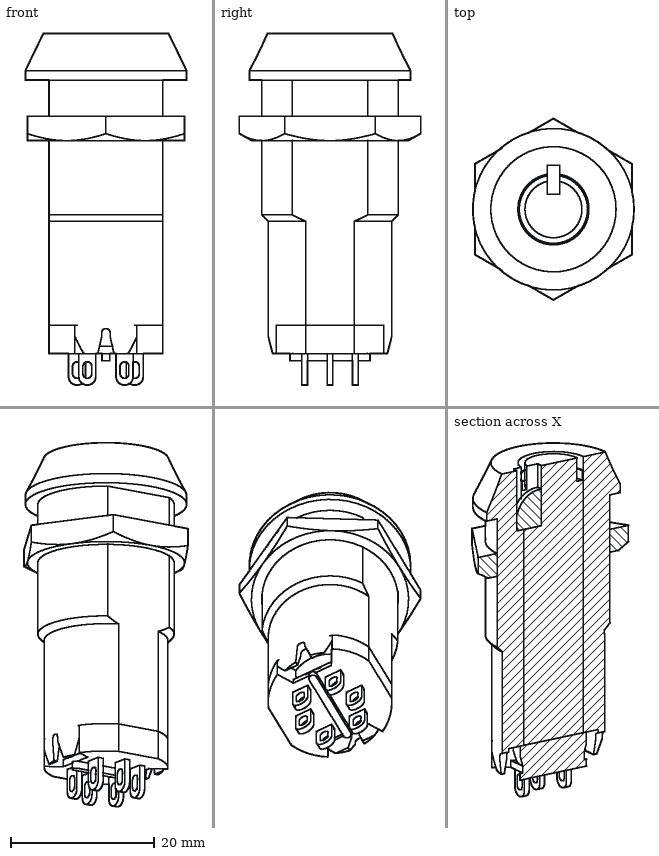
import cadquery as cq
import math

TOP_Z = 49.2
HEAD_RIM_TOP_Z = 44.0
HEAD_BOTTOM_Z = 42.65
NUT_BOTTOM_Z = 34.2
STEP_TOP_Z = 23.8
SEAT_Z = 8.4
TONGUE_CREASE_Z = 6.8
BASE_BOTTOM_Z = 4.45
SEPARATOR_BOTTOM_Z = 3.4

HEAD_RADIUS = 22.6 / 2
HEAD_TOP_RADIUS = 8.75
BARREL_RADIUS = 9.55
LOWER_RADIUS = 8.65
FLAT_X = 7.95
STEP_BOTTOM_Z = STEP_TOP_Z - (BARREL_RADIUS - LOWER_RADIUS)
BORE_RADIUS = 4.95

EAR_EDGE_ANGLE = 60.0
TONGUE_INNER_Y = LOWER_RADIUS * math.sin(math.radians(EAR_EDGE_ANGLE))
TONGUE_END_RADIUS = 8.1
NOTCH_TOP_Z = 7.9
NOTCH_ARCH_RADIUS = 0.6
NOTCH_END_HALF_WIDTH = 1.15

CORE_RIM_DEPTH = 2.0
CORE_POST_RADIUS = 4.0
CORE_RIM_INNER_RADIUS = 4.75
KEY_GROOVE_DEPTH = 3.45

SLOT_WIDTH = 1.7
SLOT_INNER_Y = 2.05
SLOT_OUTER_Y = 6.15
SLOT_DEPTH = 8.85
LUG_RADIUS = 4.0
LUG_AXIS_Y = 2.25
LUG_TOP_DEPTH = KEY_GROOVE_DEPTH

NUT_ACROSS_CORNERS = 25.4
NUT_HEIGHT = 3.45
NUT_CHAMFER_ANGLE = 30.0

BLOCK_RADIUS = 5.6
FOOT_HALF_DEPTH = 5.2
FOOT_HEIGHT = 1.05
FOOT_TOP_Z = BASE_BOTTOM_Z + FOOT_HEIGHT
SEPARATOR_WIDTH = 1.15
SEPARATOR_LENGTH = 11.2

TERMINAL_WIDTH = 2.4
TERMINAL_THICKNESS = 0.85
TERMINAL_PITCH_Y = 3.55
INNER_TERMINAL_X = 2.6
OUTER_TERMINAL_X = 4.05
EYE_WIDTH = 1.25
EYE_LENGTH = 2.25
EYE_CENTER_Z = 2.1


def disc(radius, bottom_z, top_z):
    """Upright cylinder on the Z axis."""
    return cq.Workplane("XY").workplane(offset=bottom_z).circle(radius).extrude(top_z - bottom_z)


def block(size_x, y_min, y_max, bottom_z, top_z):
    """Box centred in X."""
    return cq.Workplane("XY").box(
        size_x, y_max - y_min, top_z - bottom_z, centered=(True, False, False)
    ).translate((0, y_min, bottom_z))


def turned(outline):
    """Solid of revolution about the Z axis, from (radius, z) points."""
    return cq.Workplane("XZ").polyline(outline).close().revolve(360, (0, 0, 0), (0, 1, 0))


def between_flats(solid):
    """Trim a solid to the two flats of the barrel."""
    return solid.intersect(block(2 * FLAT_X, -BARREL_RADIUS, BARREL_RADIUS, 0, TOP_Z))


def key_slot():
    return block(SLOT_WIDTH, SLOT_INNER_Y, SLOT_OUTER_Y, TOP_Z - SLOT_DEPTH, TOP_Z)


def tongues():
    """Two tapered circular segments that hang from the barrel, each with an arched notch."""
    taper = turned([
        (0, SEAT_Z),
        (LOWER_RADIUS, SEAT_Z),
        (LOWER_RADIUS, TONGUE_CREASE_Z),
        (TONGUE_END_RADIUS, BASE_BOTTOM_Z),
        (0, BASE_BOTTOM_Z),
    ])
    width = 2 * LOWER_RADIUS * math.cos(math.radians(EAR_EDGE_ANGLE))
    span = block(width, -LOWER_RADIUS, LOWER_RADIUS, BASE_BOTTOM_Z, SEAT_Z)
    gap = block(width, -TONGUE_INNER_Y, TONGUE_INNER_Y, BASE_BOTTOM_Z, SEAT_Z)
    arch_z = NOTCH_TOP_Z - NOTCH_ARCH_RADIUS
    notch = (
        cq.Workplane("XZ")
        .moveTo(-NOTCH_END_HALF_WIDTH, BASE_BOTTOM_Z)
        .lineTo(-NOTCH_ARCH_RADIUS, TONGUE_CREASE_Z)
        .lineTo(-NOTCH_ARCH_RADIUS, arch_z)
        .threePointArc((0, NOTCH_TOP_Z), (NOTCH_ARCH_RADIUS, arch_z))
        .lineTo(NOTCH_ARCH_RADIUS, TONGUE_CREASE_Z)
        .lineTo(NOTCH_END_HALF_WIDTH, BASE_BOTTOM_Z)
        .close()
        .extrude(LOWER_RADIUS, both=True)
    )
    return taper.intersect(span).cut(gap).cut(notch)


def make_housing():
    """Conical head and stepped barrel with two flats, bored for the lock core."""
    head = turned([
        (0, TOP_Z),
        (HEAD_TOP_RADIUS, TOP_Z),
        (HEAD_RADIUS, HEAD_RIM_TOP_Z),
        (HEAD_RADIUS, HEAD_BOTTOM_Z),
        (0, HEAD_BOTTOM_Z),
    ])
    barrel = turned([
        (0, HEAD_BOTTOM_Z),
        (BARREL_RADIUS, HEAD_BOTTOM_Z),
        (BARREL_RADIUS, STEP_TOP_Z),
        (LOWER_RADIUS, STEP_BOTTOM_Z),
        (LOWER_RADIUS, SEAT_Z),
        (0, SEAT_Z),
    ])
    solid = head.union(between_flats(barrel)).union(tongues())
    return solid.cut(disc(BORE_RADIUS, SEAT_Z, TOP_Z)).cut(key_slot())


def make_nut():
    """Hexagon nut with corners on the Y axis, chamfered on its underside."""
    sides = 6
    half_side = math.pi / sides
    corner_radius = NUT_ACROSS_CORNERS / 2
    flat_radius = corner_radius * math.cos(half_side)
    chamfer_rise = (corner_radius - flat_radius) * math.tan(math.radians(NUT_CHAMFER_ANGLE))
    hexagon = (
        cq.Workplane("XY")
        .polygon(sides, NUT_ACROSS_CORNERS)
        .extrude(NUT_HEIGHT)
        .rotate((0, 0, 0), (0, 0, 1), math.degrees(half_side))
    )
    chamfered = turned([
        (0, 0),
        (flat_radius, 0),
        (corner_radius, chamfer_rise),
        (corner_radius, NUT_HEIGHT),
        (0, NUT_HEIGHT),
    ])
    nut = hexagon.intersect(chamfered).translate((0, 0, NUT_BOTTOM_Z))
    return nut.cut(disc(BARREL_RADIUS, NUT_BOTTOM_Z, NUT_BOTTOM_Z + NUT_HEIGHT))


def make_core():
    """Lock cylinder with a recessed rim and a ring groove around its central post."""
    groove_z = TOP_Z - KEY_GROOVE_DEPTH
    body = disc(BORE_RADIUS, SEAT_Z, TOP_Z - CORE_RIM_DEPTH)
    groove = disc(CORE_RIM_INNER_RADIUS, groove_z, TOP_Z)
    post = disc(CORE_POST_RADIUS, groove_z, TOP_Z)
    return body.cut(groove).union(post).cut(key_slot())


def make_key_lug():
    """Lug with a convex top that fills the bottom of the key slot."""
    axis_z = TOP_Z - LUG_TOP_DEPTH - LUG_RADIUS
    wheel = (
        cq.Workplane("YZ")
        .center(LUG_AXIS_Y, axis_z)
        .circle(LUG_RADIUS)
        .extrude(SLOT_WIDTH / 2, both=True)
    )
    return wheel.intersect(key_slot())


def terminal(x, y):
    """Solder tag with a rounded tip and an oblong eye."""
    tip_radius = TERMINAL_WIDTH / 2
    return (
        cq.Workplane("XZ", origin=(x, y, 0))
        .moveTo(-tip_radius, BASE_BOTTOM_Z)
        .lineTo(-tip_radius, tip_radius)
        .threePointArc((0, 0), (tip_radius, tip_radius))
        .lineTo(tip_radius, BASE_BOTTOM_Z)
        .close()
        .moveTo(0, EYE_CENTER_Z)
        .slot2D(EYE_LENGTH, EYE_WIDTH, 90)
        .extrude(TERMINAL_THICKNESS / 2, both=True)
    )


def ears():
    """Two sectors of the barrel outline, on the +X and -X sides."""
    reach = 2 * LOWER_RADIUS
    edge_y = reach * math.tan(math.radians(EAR_EDGE_ANGLE))
    sectors = (
        cq.Workplane("XY")
        .workplane(offset=BASE_BOTTOM_Z)
        .polyline([(0, 0), (reach, edge_y), (reach, -edge_y)])
        .close()
        .polyline([(0, 0), (-reach, edge_y), (-reach, -edge_y)])
        .close()
        .extrude(SEAT_Z - BASE_BOTTOM_Z)
    )
    return between_flats(disc(LOWER_RADIUS, BASE_BOTTOM_Z, SEAT_Z)).intersect(sectors)


def make_base():
    """Contact base: central block, flat foot, two ears, separator bar and six terminals."""
    center = turned([
        (0, SEAT_Z),
        (BLOCK_RADIUS, SEAT_Z),
        (BLOCK_RADIUS, TONGUE_CREASE_Z),
        (FOOT_HALF_DEPTH, FOOT_TOP_Z),
        (0, FOOT_TOP_Z),
    ])
    foot_width = 2 * FOOT_HALF_DEPTH / math.tan(math.radians(EAR_EDGE_ANGLE))
    foot = block(foot_width, -FOOT_HALF_DEPTH, FOOT_HALF_DEPTH, BASE_BOTTOM_Z, FOOT_TOP_Z)
    separator = (
        cq.Workplane("XY")
        .workplane(offset=SEPARATOR_BOTTOM_Z)
        .slot2D(SEPARATOR_LENGTH, SEPARATOR_WIDTH, 90)
        .extrude(BASE_BOTTOM_Z - SEPARATOR_BOTTOM_Z)
    )
    base = center.union(foot).union(ears()).union(separator)
    rows = [
        (-TERMINAL_PITCH_Y, INNER_TERMINAL_X),
        (0, OUTER_TERMINAL_X),
        (TERMINAL_PITCH_Y, INNER_TERMINAL_X),
    ]
    for y, x in rows:
        for side in (-1, 1):
            base = base.union(terminal(side * x, y))
    return base


housing = make_housing()
nut = make_nut()
core = make_core()
key_lug = make_key_lug()
base = make_base()

result = cq.Compound.makeCompound([
    housing.val(),
    nut.val(),
    core.val(),
    key_lug.val(),
    base.val(),
])